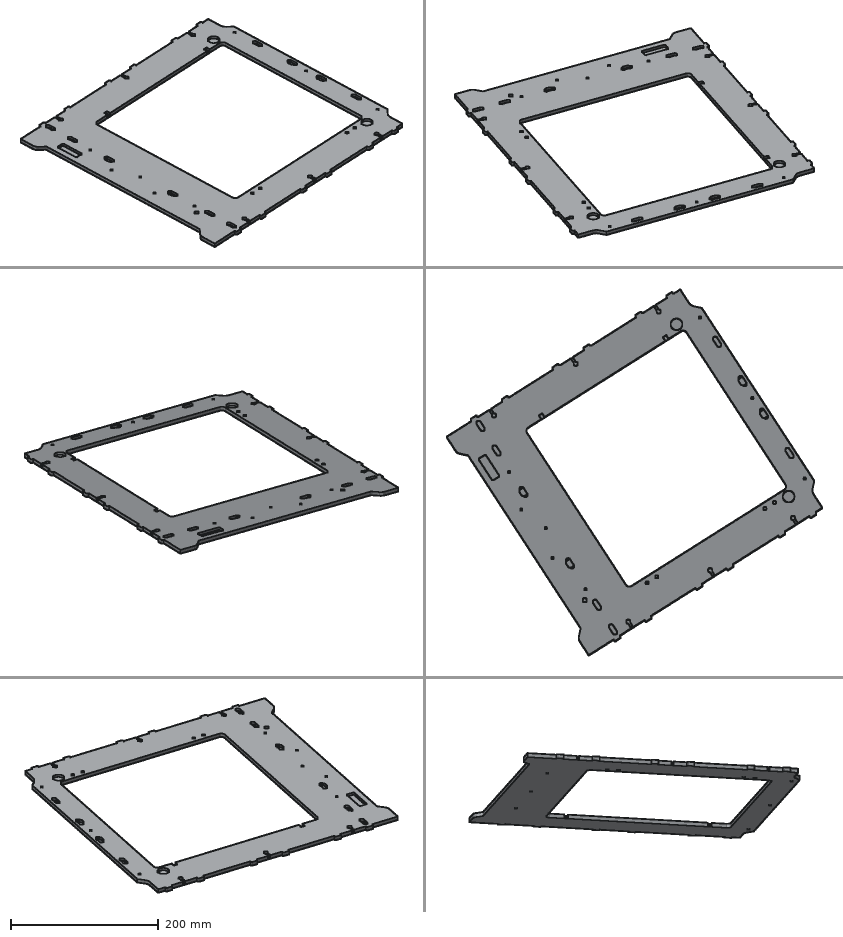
import cadquery as cq

length = 388.0
width = 364.5
thickness = 6.0

tab_reach = 3.0
tab_height = 10.0
tab_radius = 1.0
tab_pair_spacing = 50.0
pair_centres = [142.0, 8.0, -123.8]

body_half_width = width / 2 - tab_reach
half_length = length / 2

step_height = 11.0
step_half_width = 141.5
step_radius = 11.5
toe_radius = 9.7
heel_radius = 2.0

window_half_width = 130.0
window_top = 158.3
window_bottom = -99.0
window_radius = 5.5

pocket_depth = 4.0
ledge_depth = 2.0

channel_width = 3.0
seat_diameter = 6.0
seat_x = 169.0

notch_reach = 6.2
notch_height = 5.5
notch_centres = [130.5, -70.0]

slot_length = 16.0
slot_width = 6.2
top_row_y = 186.2
bottom_row_y = -147.0
top_slot_x = 91.0
bottom_slot_x = [126.5, 167.0]
top_stepped_x = 26.8
bottom_stepped_x = 58.5
well_length = 11.0
well_width = 7.8
well_radius = 3.0

recess_centre = (-112.0, -168.5)
recess_length = 35.7
recess_width = 11.5
recess_radius = 1.5

disc_diameter = 16.0
disc_x = 141.2
disc_y = 153.0
small_diameter = 3.2
rail_hole_diameter = 4.3
large_pilot_diameter = 6.0
head_hole_x = 132.0
head_hole_y = 184.5
rail_hole_x = 137.7
rail_holes_y = [132.5, 116.8, -58.0, -73.5]
small_holes = [(0, 184.5), (0, -148.5), (-92.5, -148.5), (100.0, -148.5)]
pilots = [(-39.5, -163.0), (39.5, -163.0)]
large_pilot = (112.0, -157.5)


def sunk(outline, depth):
    """Solid reaching from an outline on the top face down to the given depth."""
    return outline.extrude(-depth)


def top_face(points):
    return cq.Workplane("XY").workplane(offset=thickness).pushPoints(points)


def mirrored(x_values, y):
    return [(side * x, y) for x in x_values for side in (-1, 1)]


def box_between(x_a, x_b, y_centre, height, depth):
    return sunk(top_face([((x_a + x_b) / 2, y_centre)]).rect(abs(x_b - x_a), height), depth)


def cut_round(plate, points, diameter, depth):
    return plate.cut(sunk(top_face(points).circle(diameter / 2), depth))


def make_body():
    foot_x = step_half_width + step_height
    step_y = half_length - step_height
    right_side = [
        (step_half_width, half_length),
        (foot_x, step_y),
        (body_half_width, step_y),
        (body_half_width, -half_length),
        (foot_x, -half_length),
        (step_half_width, -step_y),
    ]
    left_side = [(-x, y) for x, y in reversed(right_side)]
    body = cq.Workplane("XY").polyline(right_side + left_side).close().extrude(thickness)
    rounded_corners = [
        (foot_x, step_y, step_radius),
        (foot_x, -half_length, toe_radius),
        (step_half_width, -step_y, heel_radius),
    ]
    for x, y, radius in rounded_corners:
        for side in (-1, 1):
            corner = cq.selectors.NearestToPointSelector((side * x, y, thickness / 2))
            body = body.edges("|Z").edges(corner).fillet(radius)
    return body


def make_tabs():
    """Bars across the full width, rounded at the corners that stand proud of the body."""
    tab_y = [
        centre + side * tab_pair_spacing / 2
        for centre in pair_centres
        for side in (-1, 1)
    ]
    bars = sunk(top_face([(0, y) for y in tab_y]).rect(width, tab_height), thickness)
    return bars.edges("|Z").fillet(tab_radius)


def make_window():
    height = window_top - window_bottom
    centre_y = (window_top + window_bottom) / 2
    return (
        cq.Workplane("XY")
        .center(0, centre_y)
        .rect(2 * window_half_width, height)
        .extrude(thickness)
        .edges("|Z")
        .fillet(window_radius)
    )


def cut_nut_pockets(plate):
    for centre in pair_centres:
        for side in (-1, 1):
            plate = plate.cut(
                box_between(side * seat_x, side * width / 2, centre, channel_width, pocket_depth))
            plate = cut_round(plate, [(side * seat_x, centre)], seat_diameter, pocket_depth)
    return plate


def cut_notches(plate):
    for centre in notch_centres:
        plate = plate.cut(
            box_between(-window_half_width - notch_reach, -window_half_width + notch_reach,
                        centre, notch_height, pocket_depth))
    return plate


def cut_slots(plate):
    for points in (mirrored([top_slot_x], top_row_y), mirrored(bottom_slot_x, bottom_row_y)):
        plate = plate.cut(sunk(top_face(points).slot2D(slot_length, slot_width), pocket_depth))
    return plate


def cut_stepped_slots(plate):
    """Shallow slots, each with a deeper well that shares the slot's upper edge."""
    for x, row_y in ((top_stepped_x, top_row_y), (bottom_stepped_x, bottom_row_y)):
        well_y = row_y + (slot_width - well_width) / 2
        ledges = sunk(top_face(mirrored([x], row_y)).slot2D(slot_length, slot_width), ledge_depth)
        wells = sunk(top_face(mirrored([x], well_y)).rect(well_length, well_width), pocket_depth)
        plate = plate.cut(ledges).cut(wells.edges("|Z").edges("<Y").fillet(well_radius))
    return plate


def cut_recess(plate):
    recess = sunk(top_face([recess_centre]).rect(recess_length, recess_width), pocket_depth)
    return plate.cut(recess.edges("|Z").fillet(recess_radius))


plate = make_body()
plate = plate.union(make_tabs())
plate = plate.cut(make_window())
plate = cut_nut_pockets(plate)
plate = cut_notches(plate)
plate = cut_slots(plate)
plate = cut_stepped_slots(plate)
plate = cut_recess(plate)
plate = cut_round(plate, mirrored([disc_x], disc_y), disc_diameter, pocket_depth)
plate = cut_round(plate, mirrored([head_hole_x], head_hole_y), small_diameter, thickness)
plate = cut_round(plate, [(rail_hole_x, y) for y in rail_holes_y], rail_hole_diameter, thickness)
plate = cut_round(plate, small_holes, small_diameter, thickness)
plate = cut_round(plate, pilots, small_diameter, pocket_depth)
plate = cut_round(plate, [large_pilot], large_pilot_diameter, pocket_depth)

result = plate